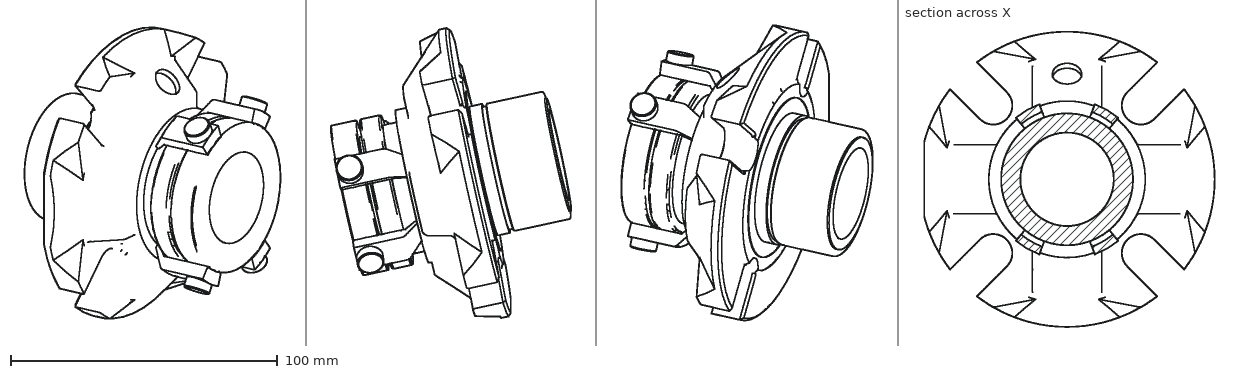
import cadquery as cq
import math


bore_d = 35.0
lip_d = 43.18
lip_length = 0.67
sleeve_d = 48.97
sleeve_edge_round = 0.9
sleeve_edge_chamfer = 0.3
groove_d = 47.14
groove_start = 22.6
groove_end = 24.2
shoulder_d = 49.61

seat_start = 28.8
seat_d = 61.32
spigot_start = 29.15
spigot_d = 71.3
spigot_round = 1.55
flange_start = 30.15
flange_back = 42.9
flange_r = 55.435
flange_chamfer = 1.1
flat_offset = 53.6
slot_width = 14.2
slot_center_r = 39.15
slot_back_round = 0.9
lug_count = 4
lug_pitch = 360 / lug_count

cone_start = 34.0
notch_apex_half = 19.8
notch_outer_half = 27.7
notch_inner_half = 11.8
notch_reach = 40.0
notch_depth_limit = 65.0

hub_d = 58.75
hub_end = 56.4
hub_root_round = 1.7
boss_half_width = 13.0
boss_end = 55.05
short_boss_end = 51.65
short_boss_angle = 270
boss_corner_round = 2.3
boss_top_round = 0.7
boss_root_round = 0.7
boss_flare_round = 1.7
boss_inner_r = 25.0
port_d = 11.0
port_depth = 2.6
port_x = 49.8

overall_length = 81.48
collar_d = 57.56
front_collar_start = 62.15
front_collar_end = 70.35
rear_collar_start = 71.65
collar_gap_d = 44.81
front_collar_round = 0.8
rear_collar_round = 0.4

clip_angles = (30, 150, 210, 330)
clip_sector = 19.6
clip_outer_r = 34.0
clip_bend_x = 62.2
clip_inner_bend_x = 61.2
clip_tip_r = 26.3
clip_foot_x = 57.2
clip_bend_round = 2.0
screw_d = 10.0
screw_top_r = 37.6
screw_edge_chamfer = 0.4

arc_inset = 1 - math.sqrt(0.5)
tolerance = 0.01

axis_start = (0, 0, 0)
axis_end = (1, 0, 0)


def cone_radius(x):
    """Radius of the 45 degree cone at position x."""
    return flange_r - (x - cone_start)


def disc(diameter, start, end):
    return cq.Workplane("YZ").workplane(offset=start).circle(diameter / 2).extrude(end - start)


def turned(shape, angle):
    """Shape rotated about the X axis; the angle is measured from +Z toward -Y."""
    return shape.rotate(axis_start, axis_end, angle)


def make_sleeve():
    barrel = disc(sleeve_d, lip_length, groove_start)
    barrel = barrel.faces("<X").edges().fillet(sleeve_edge_round)
    barrel = barrel.faces(">X").edges().chamfer(sleeve_edge_chamfer)
    lip = disc(lip_d, 0, lip_length)
    groove = disc(groove_d, groove_start, groove_end)
    shoulder = disc(shoulder_d, groove_end, front_collar_start)
    return barrel.union(lip).union(groove).union(shoulder)


def make_collars():
    front = disc(collar_d, front_collar_start, front_collar_end).edges().fillet(front_collar_round)
    rear = disc(collar_d, rear_collar_start, overall_length).edges().fillet(rear_collar_round)
    neck = disc(collar_gap_d, front_collar_start, overall_length)
    return front.union(rear).union(neck)


def make_slots(start, end):
    """Four open-ended slots on the diagonals, with full-round inner ends."""
    slots = cq.Workplane("YZ")
    for index in range(lug_count):
        slot = (
            cq.Workplane("YZ")
            .workplane(offset=start)
            .center(0, slot_center_r)
            .circle(slot_width / 2)
            .extrude(end - start)
        )
        channel = (
            cq.Workplane("YZ")
            .workplane(offset=start)
            .center(0, slot_center_r + flange_r / 2)
            .rect(slot_width, flange_r)
            .extrude(end - start)
        )
        slots = slots.add(turned(slot.union(channel), (index + 0.5) * lug_pitch))
    return slots.combine()


def make_cone():
    """Solid bounded by the 45 degree cone, continued as the flange cylinder ahead of it."""
    profile = [
        (flange_start, 0),
        (flange_start, flange_r),
        (cone_start, flange_r),
        (hub_end, cone_radius(hub_end)),
        (hub_end, 0),
    ]
    return cq.Workplane("XY").polyline(profile).close().revolve(360, axis_start, axis_end)


def make_notch():
    """Wedge with a V-shaped floor that cuts the back of the +Z lug down to the cone."""
    apex_depth = math.sqrt(flange_r**2 - notch_apex_half**2)
    outer_depth = math.sqrt(flange_r**2 - notch_outer_half**2)
    inner_depth = math.sqrt(cone_radius(flange_back) ** 2 - notch_inner_half**2)
    slope = (outer_depth - inner_depth) / (notch_outer_half - notch_inner_half)

    def section(ridge_depth):
        arm_depth = ridge_depth + slope * notch_reach
        return [
            (0, ridge_depth),
            (notch_reach, arm_depth),
            (notch_reach, notch_depth_limit),
            (-notch_reach, notch_depth_limit),
            (-notch_reach, arm_depth),
        ]

    wedge = (
        cq.Workplane("YZ")
        .workplane(offset=cone_start)
        .polyline(section(apex_depth - slope * notch_apex_half))
        .close()
        .workplane(offset=flange_back - cone_start)
        .polyline(section(inner_depth - slope * notch_inner_half))
        .close()
        .loft(ruled=True)
    )
    return wedge.cut(make_cone())


def make_flange():
    """Slotted flange plate with its flat on the -Y side and a notched back on every lug."""
    plate = disc(2 * flange_r, flange_start, flange_back)
    flat_cutter = cq.Workplane("XY").box(2 * flange_r, 2 * flange_r, 2 * flange_r)
    plate = plate.cut(flat_cutter.translate((flange_start, -flat_offset - flange_r, 0)))
    plate = plate.cut(make_slots(flange_start, flange_back))
    plate = plate.faces("<X").edges().chamfer(flange_chamfer)
    slot_edges = [
        edge
        for edge in plate.faces(">X").edges().vals()
        if min(math.hypot(v.Y, v.Z) for v in edge.Vertices()) < slot_center_r + slot_width
    ]
    plate = plate.newObject(slot_edges).fillet(slot_back_round)
    notch = make_notch()
    for index in range(lug_count):
        plate = plate.cut(turned(notch, index * lug_pitch))
    return plate


def make_spigot():
    """Stepped front face of the gland, blended into the flange face by a concave round."""
    blend_r = spigot_d / 2 + spigot_round
    mid = spigot_round * arc_inset
    start_drop = spigot_round - (flange_start - spigot_start)
    start_r = blend_r - math.sqrt(spigot_round**2 - start_drop**2)
    spigot = (
        cq.Workplane("XY")
        .moveTo(seat_start, 0)
        .lineTo(seat_start, seat_d / 2)
        .lineTo(spigot_start, seat_d / 2)
        .lineTo(spigot_start, start_r)
        .threePointArc((flange_start - mid, blend_r - spigot_round + mid), (flange_start, blend_r))
        .lineTo(cone_start, blend_r)
        .lineTo(cone_start, 0)
        .close()
        .revolve(360, axis_start, axis_end)
    )
    return spigot.cut(make_slots(seat_start, cone_start))


def make_hub():
    hub_r = hub_d / 2
    mid = hub_root_round * arc_inset
    return (
        cq.Workplane("XY")
        .moveTo(cone_start, 0)
        .lineTo(cone_start, hub_r)
        .lineTo(flange_back, hub_r)
        .lineTo(flange_back, hub_r + hub_root_round)
        .threePointArc((flange_back + mid, hub_r + mid), (flange_back + hub_root_round, hub_r))
        .lineTo(hub_end, hub_r)
        .lineTo(hub_end, 0)
        .close()
        .revolve(360, axis_start, axis_end)
    )


def make_boss(end):
    """Radial boss at +Z: flared onto the flange, rounded toward the hub end and topped by the cone."""
    flare_half = boss_half_width + boss_flare_round
    corner_half = boss_half_width - boss_corner_round
    flare_mid = boss_flare_round * arc_inset
    corner_mid = boss_corner_round * arc_inset
    block = (
        cq.Workplane("XY")
        .workplane(offset=boss_inner_r)
        .moveTo(flange_back, 0)
        .lineTo(flange_back, flare_half)
        .threePointArc(
            (flange_back + flare_mid, boss_half_width + flare_mid),
            (flange_back + boss_flare_round, boss_half_width),
        )
        .lineTo(end - boss_corner_round, boss_half_width)
        .threePointArc((end - corner_mid, boss_half_width - corner_mid), (end, corner_half))
        .lineTo(end, 0)
        .mirrorX()
        .extrude(flange_r - boss_inner_r)
    )
    boss = block.intersect(make_cone())
    top_start = flange_back + tolerance
    top_edges = [edge for edge in boss.faces("%CONE").edges().vals() if edge.Center().x > top_start]
    return boss.newObject(top_edges).fillet(boss_top_round)


def lies_on_hub(edge):
    """True for an open edge with both ends on the hub's cylinder."""
    ends = edge.Vertices()
    offsets = [abs(math.hypot(end.Y, end.Z) - hub_d / 2) for end in ends]
    return len(ends) == 2 and max(offsets) < tolerance


def make_bossed_hub():
    """Hub with its four bosses, blended together where they meet."""
    hub = make_hub()
    for index in range(lug_count):
        angle = index * lug_pitch
        end = short_boss_end if angle == short_boss_angle else boss_end
        hub = hub.union(turned(make_boss(end), angle))
    root_start = flange_back + boss_flare_round - tolerance
    root_edges = [
        edge
        for edge in hub.edges().vals()
        if lies_on_hub(edge) and root_start < edge.Center().x < hub_end - tolerance
    ]
    return hub.newObject(root_edges).fillet(boss_root_round)


def make_port():
    """Blind port bored square to the cone face of the +Z boss."""
    mouth = cq.Vector(port_x, 0, cone_radius(port_x))
    outward = cq.Vector(1, 0, 1).normalized()
    start = mouth - outward * port_depth
    return cq.Workplane(cq.Solid.makeCylinder(port_d / 2, 2 * port_depth, start, outward))


def make_clip():
    """Bent setting clip at +Z, a sector of a turned ring, with the screw that holds it to the rear collar."""
    profile = [
        (hub_end, shoulder_d / 2),
        (hub_end, clip_tip_r),
        (clip_bend_x, clip_outer_r),
        (overall_length, clip_outer_r),
        (overall_length, collar_d / 2),
        (clip_inner_bend_x, collar_d / 2),
        (clip_foot_x, shoulder_d / 2),
    ]
    clip = cq.Workplane("XZ").polyline(profile).close().revolve(clip_sector, axis_start, axis_end)
    clip = turned(clip, -clip_sector / 2)
    bend = cq.selectors.NearestToPointSelector((clip_bend_x, 0, clip_outer_r))
    clip = clip.edges(bend).fillet(clip_bend_round)
    screw = (
        cq.Workplane("XY")
        .workplane(offset=collar_gap_d / 2)
        .center(overall_length - screw_d / 2, 0)
        .circle(screw_d / 2)
        .extrude(screw_top_r - collar_gap_d / 2)
        .faces(">Z")
        .edges()
        .chamfer(screw_edge_chamfer)
    )
    return clip.union(screw)


def build():
    part = make_flange().union(make_spigot()).union(make_bossed_hub())
    part = part.cut(make_port())
    part = part.union(make_sleeve()).union(make_collars())
    clip = make_clip()
    for angle in clip_angles:
        part = part.union(turned(clip, angle))
    return part.cut(disc(bore_d, 0, overall_length))


result = build()